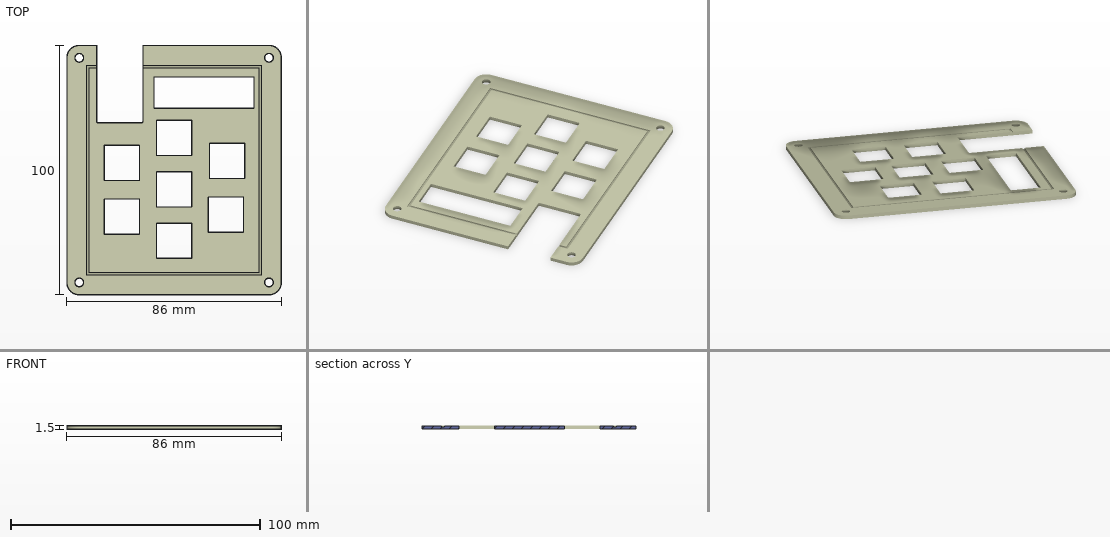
import cadquery as cq

plate_width = 86.0
plate_length = 100.0
plate_thickness = 1.5
corner_radius = 5.0

hole_diameter = 3.4
hole_x = plate_width / 2 - corner_radius
hole_y = plate_length / 2 - corner_radius

groove_outer_width = 70.0
groove_outer_length = 84.0
groove_width = 1.0
groove_depth = 0.5

notch_left = -30.95
notch_width = 18.45
notch_front = 19.0
notch_corner_radius = 0.5

window_width = 40.0
window_length = 12.5
window_center = (12.0, 31.05)

key_size = 14.0
middle_key_y = -7.7
middle_key_pitch = 20.6
left_key_x = -20.9
left_key_rows = (2.9, -18.6)
upper_right_key = (21.25, 3.7)
lower_right_key = (20.7, -17.8)


def block(width, length, height, center, bottom):
    """Box centred on an XY point, standing on the given Z level."""
    return (
        cq.Workplane("XY", origin=(center[0], center[1], bottom))
        .rect(width, length)
        .extrude(height)
    )


def make_plate():
    plate = block(plate_width, plate_length, plate_thickness, (0, 0), 0)
    return plate.edges("|Z").fillet(corner_radius)


def make_mounting_holes():
    return (
        cq.Workplane("XY")
        .rect(2 * hole_x, 2 * hole_y, forConstruction=True)
        .vertices()
        .circle(hole_diameter / 2)
        .extrude(plate_thickness)
    )


def make_groove():
    groove_floor = plate_thickness - groove_depth
    inner_width = groove_outer_width - 2 * groove_width
    inner_length = groove_outer_length - 2 * groove_width
    outer = block(groove_outer_width, groove_outer_length, groove_depth, (0, 0), groove_floor)
    inner = block(inner_width, inner_length, groove_depth, (0, 0), groove_floor)
    return outer.cut(inner)


def make_notch():
    notch_length = plate_length / 2 - notch_front
    center = (notch_left + notch_width / 2, notch_front + notch_length / 2)
    notch = block(notch_width, notch_length, plate_thickness, center, 0)
    return notch.edges("|Z and <Y").fillet(notch_corner_radius)


def make_window():
    return block(window_width, window_length, plate_thickness, window_center, 0)


def make_key_openings():
    middle_column = [(0, middle_key_y + row * middle_key_pitch) for row in (-1, 0, 1)]
    left_column = [(left_key_x, y) for y in left_key_rows]
    right_column = [upper_right_key, lower_right_key]
    return (
        cq.Workplane("XY")
        .pushPoints(middle_column + left_column + right_column)
        .rect(key_size, key_size)
        .extrude(plate_thickness)
    )


result = (
    make_plate()
    .cut(make_mounting_holes())
    .cut(make_groove())
    .cut(make_notch())
    .cut(make_window())
    .cut(make_key_openings())
)